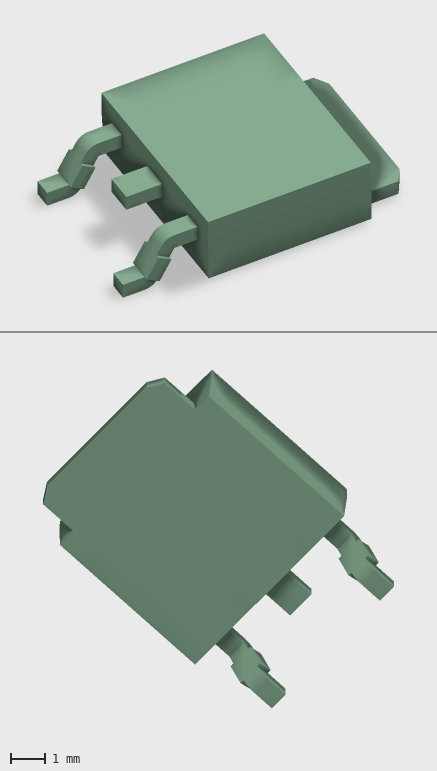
import cadquery as cq
import math

TOTAL_LENGTH = 9.5
TOTAL_HEIGHT = 2.4
METAL_THICKNESS = 0.5

HOUSING_WIDTH = 6.5
HOUSING_BOTTOM = 0.12
PARTING_HEIGHT = 1.72
HOUSING_FRONT = 2.49
HOUSING_BACK = 7.99
FRONT_DRAFT = math.tan(math.radians(2))
BACK_DRAFT = math.tan(math.radians(1.5))
SIDE_DRAFT = math.tan(math.radians(2.3))

TAB_WIDTH = 5.2
TAB_THICKNESS = 0.49
TAB_CORNER_X = 0.47
TAB_CORNER_Y = 0.285

STUB_WIDTH = 0.9
STUB_FRONT = 1.29

LEAD_WIDTH = 0.59
LEAD_WIDE_WIDTH = 0.84
LEAD_OFFSET = 2.31
LEAD_WIDE_LENGTH = 0.79
FOOT_LENGTH = 0.72
BEND_ANGLE = math.radians(60)

TRIM_ALLOWANCE = 0.19


def make_housing():
    """Block with a drafted back, and front and sides drafted below the parting line."""
    front_inset = FRONT_DRAFT * (PARTING_HEIGHT - HOUSING_BOTTOM)
    side_inset = SIDE_DRAFT * (PARTING_HEIGHT - HOUSING_BOTTOM)
    back_inset = BACK_DRAFT * (TOTAL_HEIGHT - HOUSING_BOTTOM)
    half_width = HOUSING_WIDTH / 2
    side_profile = (
        cq.Workplane("YZ")
        .moveTo(HOUSING_FRONT + front_inset, HOUSING_BOTTOM)
        .lineTo(HOUSING_BACK, HOUSING_BOTTOM)
        .lineTo(HOUSING_BACK - back_inset, TOTAL_HEIGHT)
        .lineTo(HOUSING_FRONT, TOTAL_HEIGHT)
        .lineTo(HOUSING_FRONT, PARTING_HEIGHT)
        .close()
        .extrude(half_width, both=True)
    )
    front_profile = (
        cq.Workplane("XZ")
        .moveTo(half_width - side_inset, HOUSING_BOTTOM)
        .lineTo(half_width, PARTING_HEIGHT)
        .lineTo(half_width, TOTAL_HEIGHT)
        .lineTo(-half_width, TOTAL_HEIGHT)
        .lineTo(-half_width, PARTING_HEIGHT)
        .lineTo(side_inset - half_width, HOUSING_BOTTOM)
        .close()
        .extrude(-TOTAL_LENGTH)
    )
    return side_profile.intersect(front_profile)


def make_tab(housing):
    """Flat plate behind the housing with two cut corners."""
    half_width = TAB_WIDTH / 2
    inner_end = HOUSING_BACK - TRIM_ALLOWANCE
    plate = (
        cq.Workplane("XY", origin=(0, 0, HOUSING_BOTTOM))
        .moveTo(-half_width, inner_end)
        .lineTo(half_width, inner_end)
        .lineTo(half_width, TOTAL_LENGTH - TAB_CORNER_Y)
        .lineTo(half_width - TAB_CORNER_X, TOTAL_LENGTH)
        .lineTo(TAB_CORNER_X - half_width, TOTAL_LENGTH)
        .lineTo(-half_width, TOTAL_LENGTH - TAB_CORNER_Y)
        .close()
        .extrude(TAB_THICKNESS)
    )
    return plate.cut(housing)


def make_stub(housing):
    """Short straight centre lead just below the parting line."""
    length = HOUSING_FRONT + TRIM_ALLOWANCE - STUB_FRONT
    bar = cq.Workplane("XY").box(STUB_WIDTH, length, METAL_THICKNESS, centered=(True, False, False))
    return bar.translate((0, STUB_FRONT, PARTING_HEIGHT - METAL_THICKNESS)).cut(housing)


def make_lead(housing, x_center):
    """Gull-wing lead: each bend has a sharp inside corner and an outer arc centred on it."""
    def shifted(point, direction, distance):
        return (point[0] + direction[0] * distance, point[1] + direction[1] * distance)

    down_slope = (-math.cos(BEND_ANGLE), -math.sin(BEND_ANGLE))
    outward = (-math.sin(BEND_ANGLE), math.cos(BEND_ANGLE))
    half_outward = (-math.sin(BEND_ANGLE / 2), math.cos(BEND_ANGLE / 2))

    upper_z = PARTING_HEIGHT - METAL_THICKNESS
    drop = upper_z - METAL_THICKNESS
    slope_length = (drop + METAL_THICKNESS * outward[1]) / math.sin(BEND_ANGLE)
    lower_corner = (FOOT_LENGTH, METAL_THICKNESS)
    slope_start = shifted(lower_corner, down_slope, -slope_length)
    upper_corner = shifted(slope_start, outward, -METAL_THICKNESS)
    slope_end = shifted(lower_corner, outward, -METAL_THICKNESS)
    inner_end = HOUSING_FRONT + TRIM_ALLOWANCE

    strip = (
        cq.Workplane("YZ")
        .moveTo(inner_end, PARTING_HEIGHT)
        .lineTo(upper_corner[0], PARTING_HEIGHT)
        .threePointArc(shifted(upper_corner, half_outward, METAL_THICKNESS), slope_start)
        .lineTo(*lower_corner)
        .lineTo(0, METAL_THICKNESS)
        .lineTo(0, 0)
        .lineTo(lower_corner[0], 0)
        .threePointArc(shifted(lower_corner, half_outward, -METAL_THICKNESS), slope_end)
        .lineTo(*upper_corner)
        .lineTo(inner_end, upper_z)
        .close()
        .extrude(LEAD_WIDTH / 2, both=True)
    )
    wide_section = (
        cq.Workplane("YZ")
        .polyline([
            lower_corner,
            slope_end,
            shifted(slope_end, down_slope, -LEAD_WIDE_LENGTH),
            shifted(lower_corner, down_slope, -LEAD_WIDE_LENGTH),
        ])
        .close()
        .extrude(LEAD_WIDE_WIDTH / 2, both=True)
    )
    return strip.union(wide_section).translate((x_center, 0, 0)).cut(housing)


housing = make_housing()
tab = make_tab(housing)
stub = make_stub(housing)
leads = [make_lead(housing, side * LEAD_OFFSET) for side in (-1, 1)]

result = cq.Compound.makeCompound([
    housing.solids().val(),
    tab.solids().val(),
    stub.solids().val(),
    *[lead.solids().val() for lead in leads],
])